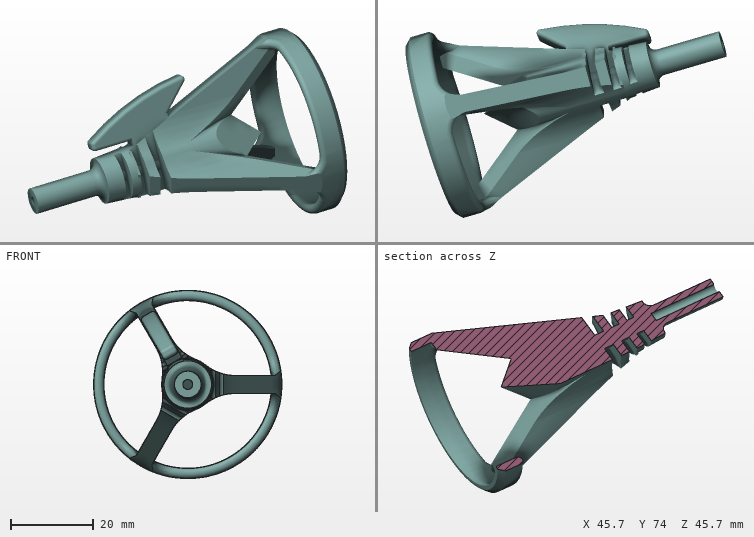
import cadquery as cq
import math

OVERALL_LENGTH = 73.99
ARM_COUNT = 3
ARM_STEP = 360 / ARM_COUNT
FIN_ARM_ANGLE = ARM_STEP
FAR = 100.0

RING_RADIUS = 45.72 / 2
RING_WALL = 2.5
RING_BORE_RADIUS = RING_RADIUS - RING_WALL
RING_DEPTH = 6.8
RING_CHAMFER = 1.4
RING_EDGE_ROUND = 1.2

ARM_WIDTH = 4.4
ARM_HALF = ARM_WIDTH / 2
ARM_FLARE_RADIUS = 5.08
ARM_BLEND_RADIUS = 11.43
ARM_OUTER_START_DEPTH = 7.2
ARM_OUTER_SLOPE = 0.418
ROOF_SLOPE_ALONG = 1.25
ROOF_SLOPE_ACROSS = 2.25

CORE_RADIUS = 6.35
PYRAMID_APEX_DEPTH = 13.3
PYRAMID_SLOPE = 2.06
CONE_START_DEPTH = 48.5
SHOULDER_DEPTH = 56.3
SHOULDER_RADIUS = 5.75

STEM_RADIUS = 6.45 / 2
NECK_FILLET = 2.0
BORE_DIAMETER = 2.39
BORE_DEPTH = OVERALL_LENGTH - SHOULDER_DEPTH

GROOVES = [(41.1, 43.5), (45.9, 47.9), (50.2, 52.0)]
WEB_THICKNESS = 4.2
PIN_RADIUS = 2.42

FIN_THICKNESS = 4.0
FIN_TIP = (19.9, 28.6)
FIN_CREST = (17.6, 41.0)
FIN_NOSE = (10.0, 56.9)
FIN_HEEL = (7.8, 56.9)
FIN_BELLY = (7.8, 46.0)
FIN_BACK_FOOT = (11.0, 36.8)
FIN_ROOT = [(12.0, 36.4), (9.0, 46.6), (5.0, 46.6), (5.0, 36.4)]
FIN_EDGE_ROUND = 0.9

ridge_foot_depth = PYRAMID_APEX_DEPTH + PYRAMID_SLOPE * CORE_RADIUS * math.cos(math.pi / ARM_COUNT)
ridge_axis_depth = ridge_foot_depth + ROOF_SLOPE_ALONG * CORE_RADIUS


def turned(body, angle):
    """Turn a body about the part axis, from +X toward +Z."""
    return body.rotate((0, 0, 0), (0, -1, 0), angle)


def axial_plane(depth):
    """Plane across the part axis at a depth; extrusions go toward -Y."""
    return cq.Workplane("XZ", origin=(0, -depth, 0))


def radial_plate(points, thickness):
    """Plate centred on the +X arm plane, outlined by (radius, depth) points."""
    outline = [(radius, -depth) for radius, depth in points]
    return cq.Workplane("XY").polyline(outline).close().extrude(thickness / 2, both=True)


def arm_outer_radius(depth):
    return RING_RADIUS - ARM_OUTER_SLOPE * (depth - ARM_OUTER_START_DEPTH)


def outer_envelope():
    """Space inside the sloped outer face of the +X arm."""
    points = [
        (-FAR, 0),
        (RING_RADIUS + RING_WALL, 0),
        (RING_RADIUS + RING_WALL, ARM_OUTER_START_DEPTH - RING_WALL / ARM_OUTER_SLOPE),
        (arm_outer_radius(SHOULDER_DEPTH), SHOULDER_DEPTH),
        (-FAR, SHOULDER_DEPTH),
    ]
    return radial_plate(points, FAR)


def make_opening():
    """Space between two neighbouring flared arm feet, centred on +X."""

    def flank():
        """Space on the +Z side of the +X arm, in front of the ring and its flare."""
        reach = ARM_HALF + ARM_FLARE_RADIUS
        side = ARM_FLARE_RADIUS * math.sqrt(0.5)
        crest = -RING_DEPTH - ARM_FLARE_RADIUS
        return (
            cq.Workplane("YZ", origin=(-FAR, 0, 0))
            .moveTo(-RING_DEPTH, reach)
            .threePointArc((crest + side, reach - side), (crest, ARM_HALF))
            .lineTo(-FAR, ARM_HALF)
            .lineTo(-FAR, FAR)
            .lineTo(-RING_DEPTH, FAR)
            .close()
            .extrude(2 * FAR)
        )

    above = turned(flank(), -ARM_STEP / 2)
    below = above.mirror("XY")
    return above.intersect(below)


def make_ring():
    """Ring with flared arm feet and rounded front edges."""
    crest_depth = RING_DEPTH + ARM_FLARE_RADIUS
    ring = axial_plane(0).circle(RING_RADIUS).circle(RING_BORE_RADIUS).extrude(crest_depth)
    for index in range(ARM_COUNT):
        ring = ring.cut(turned(make_opening(), ARM_STEP * (index + 0.5)))
    tolerance = 0.01
    front_edges = [
        edge
        for edge in ring.edges().vals()
        if RING_DEPTH - tolerance < -edge.Center().y < crest_depth - tolerance and edge.geomType() != "LINE"
    ]
    ring = ring.newObject(front_edges).fillet(RING_EDGE_ROUND)
    for index in range(ARM_COUNT):
        ring = ring.intersect(turned(outer_envelope(), ARM_STEP * index))
    back_rim = cq.selectors.RadiusNthSelector(-1)
    return ring.faces(">Y").edges(back_rim).chamfer(RING_CHAMFER)


def make_roof():
    """Space in front of the two sloped inner faces that meet in the arm ridge."""
    eave_depth = ridge_axis_depth + ROOF_SLOPE_ACROSS * CORE_RADIUS
    run = RING_RADIUS + RING_WALL
    profile = [
        (-ridge_axis_depth, 0),
        (-eave_depth, CORE_RADIUS),
        (-FAR, CORE_RADIUS),
        (-FAR, -CORE_RADIUS),
        (-eave_depth, -CORE_RADIUS),
    ]
    wire = cq.Workplane("YZ").polyline(profile).close().val()
    return cq.Workplane(cq.Solid.extrudeLinear(wire, [], cq.Vector(run, ROOF_SLOPE_ALONG * run, 0)))


def make_arm():
    """The +X arm: constant cross-section cut by its sloped outer and inner faces."""
    blend_y = ARM_HALF + ARM_BLEND_RADIUS
    blend_centre_distance = CORE_RADIUS + ARM_BLEND_RADIUS
    blend_x = math.sqrt(blend_centre_distance**2 - blend_y**2)
    blend_angle = math.atan2(blend_y, blend_x)
    touch = (CORE_RADIUS * math.cos(blend_angle), CORE_RADIUS * math.sin(blend_angle))
    middle_angle = (blend_angle + math.pi / 2) / 2
    middle = (
        blend_x - ARM_BLEND_RADIUS * math.cos(middle_angle),
        blend_y - ARM_BLEND_RADIUS * math.sin(middle_angle),
    )
    section = (
        axial_plane(0)
        .moveTo(0, 0)
        .lineTo(*touch)
        .threePointArc(middle, (blend_x, ARM_HALF))
        .lineTo(RING_RADIUS, ARM_HALF)
        .lineTo(RING_RADIUS, -ARM_HALF)
        .lineTo(blend_x, -ARM_HALF)
        .threePointArc((middle[0], -middle[1]), (touch[0], -touch[1]))
        .close()
        .extrude(CONE_START_DEPTH)
    )
    ring_space = axial_plane(RING_DEPTH - RING_EDGE_ROUND).circle(RING_RADIUS).extrude(FAR)
    return section.intersect(ring_space).intersect(outer_envelope()).intersect(make_roof())


def make_core():
    """Round core with a pyramid on its back end, a tapered nose and the stem."""
    profile = (
        cq.Workplane("XY")
        .moveTo(0, -PYRAMID_APEX_DEPTH)
        .lineTo(CORE_RADIUS, -PYRAMID_APEX_DEPTH)
        .lineTo(CORE_RADIUS, -CONE_START_DEPTH)
        .lineTo(SHOULDER_RADIUS, -SHOULDER_DEPTH)
        .lineTo(STEM_RADIUS + NECK_FILLET, -SHOULDER_DEPTH)
        .radiusArc((STEM_RADIUS, -SHOULDER_DEPTH - NECK_FILLET), -NECK_FILLET)
        .lineTo(STEM_RADIUS, -OVERALL_LENGTH)
        .lineTo(0, -OVERALL_LENGTH)
        .close()
    )
    core = profile.revolve(360, (0, 0, 0), (0, 1, 0))
    side_reach = 2 * CORE_RADIUS
    drop = PYRAMID_SLOPE * side_reach
    wedge_points = [
        (-side_reach, PYRAMID_APEX_DEPTH - drop),
        (side_reach, PYRAMID_APEX_DEPTH - drop),
        (side_reach, PYRAMID_APEX_DEPTH + drop),
    ]
    wedge = radial_plate(wedge_points, FAR)
    for index in range(ARM_COUNT):
        core = core.cut(turned(wedge, ARM_STEP * (index + 0.5)))
    return core


def make_groove(start_depth, end_depth):
    """Groove around the nose that leaves a flat web in the fin plane and a round pin on the axis."""
    width = end_depth - start_depth
    web_points = [(-FAR, start_depth), (FAR, start_depth), (FAR, end_depth), (-FAR, end_depth)]
    web = turned(radial_plate(web_points, WEB_THICKNESS), FIN_ARM_ANGLE)
    pin = axial_plane(start_depth).circle(PIN_RADIUS).extrude(width)
    return axial_plane(start_depth).circle(2 * CORE_RADIUS).extrude(width).cut(web).cut(pin)


def make_fin():
    """Rounded, swept-back blade joined to the outer face of its arm by a root."""

    def at(point):
        return (point[0], -point[1])

    blade = (
        cq.Workplane("XY")
        .moveTo(*at(FIN_TIP))
        .threePointArc(at(FIN_CREST), at(FIN_NOSE))
        .lineTo(*at(FIN_HEEL))
        .lineTo(*at(FIN_BELLY))
        .lineTo(*at(FIN_BACK_FOOT))
        .close()
        .extrude(FIN_THICKNESS / 2, both=True)
        .edges()
        .fillet(FIN_EDGE_ROUND)
    )
    root = radial_plate(FIN_ROOT, FIN_THICKNESS)
    return turned(blade.union(root), FIN_ARM_ANGLE)


body = make_core()
for index in range(ARM_COUNT):
    body = body.union(turned(make_arm(), ARM_STEP * index))
for start, end in GROOVES:
    body = body.cut(make_groove(start, end))
body = body.union(make_ring())
body = body.union(make_fin())
bore = axial_plane(OVERALL_LENGTH - BORE_DEPTH).circle(BORE_DIAMETER / 2).extrude(BORE_DEPTH)
result = body.cut(bore)